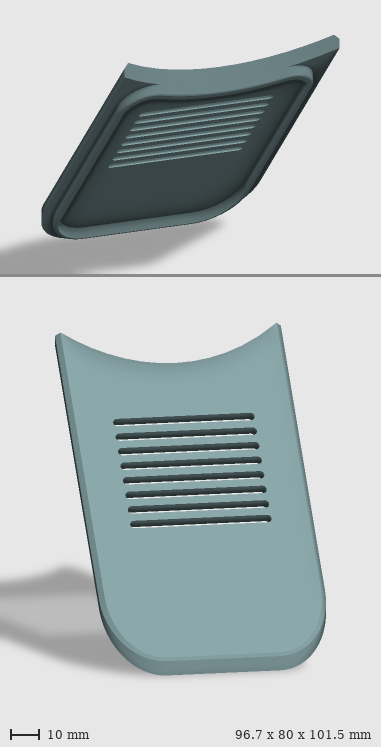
import cadquery as cq
import math

LENGTH = 96.7
WIDTH = 80.0
CORNER_RADIUS = 20.0
END_ARC_DEPTH = 11.4

PLATE_RISE = 5.8
LIP_RISE = 4.0
LIP_INSET = 4.0
LIP_TIP_RADIUS = 10.0
LIP_WALL = 2.0

PLATE_CHAMFER = 1.7
LIP_EDGE_RADIUS = 1.0

SLOT_COUNT = 8
SLOT_PITCH = 6.0
SLOT_WIDTH = 3.0
SLOT_LENGTH = 50.0
FIRST_SLOT_X = 39.3

HALF_WIDTH = WIDTH / 2
END_ARC_RADIUS = (HALF_WIDTH**2 + END_ARC_DEPTH**2) / (2 * END_ARC_DEPTH)
END_ARC_CENTRE_X = LENGTH - END_ARC_DEPTH + END_ARC_RADIUS
TALL = 2 * LENGTH
OVERRUN_X = LENGTH + CORNER_RADIUS
LOWER_FACE = cq.selectors.DirectionMinMaxSelector(cq.Vector(1, 0, -1))


def outline_prism(inset):
    """Tall vertical prism of the plan outline, running past the high end."""
    half = HALF_WIDTH - inset
    return (
        cq.Workplane("XY", origin=(0, 0, -TALL / 2))
        .moveTo(inset, -half)
        .lineTo(OVERRUN_X, -half)
        .lineTo(OVERRUN_X, half)
        .lineTo(inset, half)
        .close()
        .extrude(2 * TALL)
        .edges("|Z and <X")
        .fillet(CORNER_RADIUS - inset)
    )


def end_cutter(margin=0):
    """Vertical cylinder that hollows the high end, widened by margin."""
    return (
        cq.Workplane("XY", origin=(END_ARC_CENTRE_X, 0, -TALL / 2))
        .circle(END_ARC_RADIUS + margin)
        .extrude(2 * TALL)
    )


def slab(bottom, top):
    """Sloping slab between two vertical heights above the plane z = x."""
    corners = [(0, bottom), (OVERRUN_X, OVERRUN_X + bottom), (OVERRUN_X, OVERRUN_X + top), (0, top)]
    return cq.Workplane("XZ").polyline(corners).close().extrude(HALF_WIDTH, both=True)


def rim_loop(wall_inset, rise_inset, shift, height):
    """Closed loop of six edges round the plate, starting along the low end.

    The corners are quarter ellipses with a plan radius cut by wall_inset and a
    run in height cut by rise_inset; the loop is moved along X by shift.
    """
    centre_x = CORNER_RADIUS + shift
    centre_z = CORNER_RADIUS + height
    centre_y = HALF_WIDTH - CORNER_RADIUS
    plan_radius = CORNER_RADIUS - wall_inset
    rise = CORNER_RADIUS - rise_inset
    far_run = OVERRUN_X - centre_x

    def corner(side):
        outward = cq.Vector(-plan_radius, 0, -rise)
        return cq.Edge.makeEllipse(
            outward.Length,
            plan_radius,
            cq.Vector(centre_x, side * centre_y, centre_z),
            outward.cross(cq.Vector(0, side, 0)),
            outward,
            0,
            90,
        )

    low_end = cq.Vector(centre_x - plan_radius, 0, centre_z - rise)
    side_start = cq.Vector(centre_x, 0, centre_z)
    side_end = cq.Vector(OVERRUN_X, 0, centre_z + far_run)
    to_flat = cq.Vector(0, centre_y, 0)
    to_side = cq.Vector(0, centre_y + plan_radius, 0)
    return [
        cq.Edge.makeLine(low_end - to_flat, low_end + to_flat),
        corner(1),
        cq.Edge.makeLine(side_start + to_side, side_end + to_side),
        cq.Edge.makeLine(side_end + to_side, side_end - to_side),
        cq.Edge.makeLine(side_start - to_side, side_end - to_side),
        corner(-1),
    ]


def make_plate():
    """Plate with vertical walls and a flat chamfer round its upper rim.

    The chamfer joins the points where a ball of radius PLATE_CHAMFER, rolled
    inside the rim, would touch the top face and the walls.
    """
    tilt = PLATE_CHAMFER * math.sqrt(0.5)
    bottom = rim_loop(0, 0, 0, 0)
    shoulder = rim_loop(0, PLATE_CHAMFER, 0, PLATE_RISE - 2 * tilt)
    top = rim_loop(PLATE_CHAMFER, PLATE_CHAMFER, -tilt, PLATE_RISE - tilt)
    faces = [cq.Face.makeFromWires(cq.Wire.assembleEdges(loop)) for loop in (bottom, top)]
    for lower, upper in ((bottom, shoulder), (shoulder, top)):
        faces += [cq.Face.makeRuledSurface(low, high) for low, high in zip(lower, upper)]
    blank = cq.Solid.makeSolid(cq.Shell.makeShell(faces))
    return cq.Workplane(blank.fix()).cut(end_cutter())


def make_lip():
    """Rounded lip under the plate, open inside so the slots pass freely."""
    outer = outline_prism(LIP_INSET).cut(end_cutter())
    outer = outer.edges("|Z and >X").fillet(LIP_TIP_RADIUS).intersect(slab(-LIP_RISE, 0))
    outer = outer.faces(LOWER_FACE).edges().fillet(LIP_EDGE_RADIUS)
    inner = outline_prism(LIP_INSET + LIP_WALL).cut(end_cutter(LIP_WALL))
    inner = inner.edges("|Z and >X").fillet(LIP_TIP_RADIUS - LIP_WALL)
    return outer.cut(inner)


def make_slots():
    face = cq.Plane(
        origin=(FIRST_SLOT_X, 0, FIRST_SLOT_X + PLATE_RISE), xDir=(1, 0, 1), normal=(-1, 0, 1)
    )
    return (
        cq.Workplane(face)
        .pushPoints([(i * SLOT_PITCH, 0) for i in range(SLOT_COUNT)])
        .slot2D(SLOT_LENGTH, SLOT_WIDTH, 90)
        .extrude(PLATE_RISE + LIP_RISE, both=True)
    )


result = make_plate().union(make_lip()).cut(make_slots())